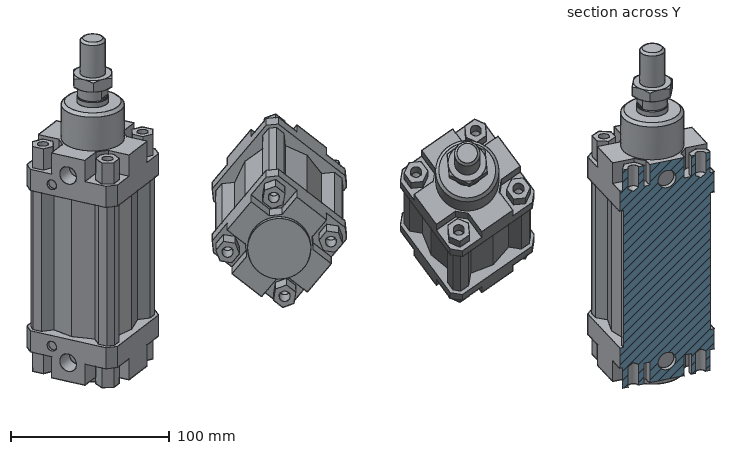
import math

import cadquery as cq

TOTAL_HEIGHT = 229.0
REAR_SPIGOT_HEIGHT = 4.1
CAP_HEIGHT = 29.3
CAP_STEP = 14.7
FRONT_CAP_TOP = 159.8
BOSS_TOP = 185.3
COLLAR_TOP = 189.4
ROD_FLATS_BOTTOM = 190.3
THREAD_START = 197.0

CAP_SIDE = 65.0
CAP_CHAMFER = 5.5
CROSS_WIDTH = 24.0
POCKET_CHAMFER = 5.7
BOSS_DIAMETER = 39.8
BOSS_CHAMFER = 2.0

BOLT_OFFSET = 23.1
BOLT_FLATS = 13.0
BOLT_HOLE_DIAMETER = 6.9
BOLT_HOLE_DEPTH = 14.7
DRILL_POINT_ANGLE = 118.0

PORT_DIAMETER = 12.0
PORT_DEPTH = 12.4
PORT_FROM_INNER_FACE = 16.3
CUSHION_DIAMETER = 6.6
CUSHION_DEPTH = 2.0
CUSHION_X = -11.7
CUSHION_FROM_INNER_FACE = 7.3

BARREL_HALF = 30.0
BARREL_CORNER_START = 26.5
COLUMN_INNER = 20.4
RECESS_EDGE = 14.7
RIDGE_HALF = 28.0

COLLAR_DIAMETER = 20.0
COLLAR_EDGE_BEVEL = 0.7
ROD_DIAMETER = 19.2
ROD_FLATS = 17.2
ROD_DEPTH = 27.5
THREAD_DIAMETER = 16.0
THREAD_CHAMFER = 1.5

NUT_FLATS = 24.0
NUT_HEIGHT = 8.0
NUT_CHAMFER_ANGLE = 30.0

REAR_CAP_TOP = REAR_SPIGOT_HEIGHT + CAP_HEIGHT
FRONT_CAP_BOTTOM = FRONT_CAP_TOP - CAP_HEIGHT
RECESS_DEPTH = BARREL_HALF - (COLUMN_INNER - RECESS_EDGE)
ROD_BOTTOM = BOSS_TOP - ROD_DEPTH
HEX_CORNERS_PER_FLATS = 1 / math.cos(math.radians(30))


def cylinder(diameter, bottom, top):
    return cq.Workplane("XY").workplane(offset=bottom).circle(diameter / 2).extrude(top - bottom)


def hexagon(flats, bottom, top):
    """Hexagonal prism on the Z axis with two corners on the X axis."""
    base = cq.Workplane("XY").workplane(offset=bottom)
    return base.polygon(6, flats * HEX_CORNERS_PER_FLATS).extrude(top - bottom)


def quarter_turns(shape):
    """Four copies of a shape, a quarter turn apart about the Z axis."""
    return [shape.rotate((0, 0, 0), (0, 0, 1), 90 * quarter) for quarter in range(4)]


def corner_pocket():
    """Pocket at the +X +Y corner of a cap whose outer face is at CAP_HEIGHT."""
    near = CROSS_WIDTH / 2
    far = CAP_SIDE
    outline = [
        (near + POCKET_CHAMFER, near),
        (far, near),
        (far, far),
        (near, far),
        (near, near + POCKET_CHAMFER),
    ]
    floor = CAP_HEIGHT - CAP_STEP
    return cq.Workplane("XY").workplane(offset=floor).polyline(outline).close().extrude(CAP_STEP)


def tie_bolt():
    """Hexagonal bolt end at the +X +Y corner."""
    bolt = hexagon(BOLT_FLATS, CAP_HEIGHT - CAP_STEP, CAP_HEIGHT)
    return bolt.translate((BOLT_OFFSET, BOLT_OFFSET, 0))


def bolt_hole():
    """Drilled blind hole with a conical end, at the +X +Y corner."""
    radius = BOLT_HOLE_DIAMETER / 2
    hole_end = CAP_HEIGHT - BOLT_HOLE_DEPTH
    point_length = radius / math.tan(math.radians(DRILL_POINT_ANGLE / 2))
    outline = [
        (0, hole_end - point_length),
        (radius, hole_end),
        (radius, CAP_HEIGHT),
        (0, CAP_HEIGHT),
    ]
    hole = cq.Workplane("XZ").polyline(outline).close().revolve(360, (0, 0, 0), (0, 1, 0))
    return hole.translate((BOLT_OFFSET, BOLT_OFFSET, 0))


def side_hole(diameter, depth, x, z):
    """Flat-bottomed hole entering the -Y face of a cap."""
    face = cq.Workplane("XZ", origin=(x, -CAP_SIDE / 2, z))
    return face.circle(diameter / 2).extrude(-depth)


def cap():
    """End cap with its inner face at Z = 0 and its outer face at CAP_HEIGHT."""
    body = cq.Workplane("XY").rect(CAP_SIDE, CAP_SIDE).extrude(CAP_HEIGHT)
    body = body.edges("|Z").chamfer(CAP_CHAMFER)
    for pocket in quarter_turns(corner_pocket()):
        body = body.cut(pocket)
    for bolt in quarter_turns(tie_bolt()):
        body = body.union(bolt)
    for hole in quarter_turns(bolt_hole()):
        body = body.cut(hole)
    body = body.cut(side_hole(PORT_DIAMETER, PORT_DEPTH, 0, PORT_FROM_INNER_FACE))
    return body.cut(side_hole(CUSHION_DIAMETER, CUSHION_DEPTH, CUSHION_X, CUSHION_FROM_INNER_FACE))


def barrel():
    """Profiled tube body: bevelled corner columns with a shallow ridge between them."""
    side = [
        (-BARREL_CORNER_START, BARREL_HALF),
        (-COLUMN_INNER, BARREL_HALF),
        (-RECESS_EDGE, RECESS_DEPTH),
        (0, RIDGE_HALF),
        (RECESS_EDGE, RECESS_DEPTH),
        (COLUMN_INNER, BARREL_HALF),
        (BARREL_CORNER_START, BARREL_HALF),
    ]
    outline = list(side)
    for _ in range(3):
        side = [(y, -x) for x, y in side]
        outline += side
    base = cq.Workplane("XY").workplane(offset=REAR_CAP_TOP)
    return base.polyline(outline).close().extrude(FRONT_CAP_BOTTOM - REAR_CAP_TOP)


def make_housing():
    """Barrel with both end caps, the front boss and the rear spigot, bored for the rod."""
    front_cap = cap().translate((0, 0, FRONT_CAP_BOTTOM))
    rear_cap = cap().mirror("XY").translate((0, 0, REAR_CAP_TOP))
    boss = cylinder(BOSS_DIAMETER, FRONT_CAP_TOP - CAP_STEP, BOSS_TOP).faces(">Z").chamfer(BOSS_CHAMFER)
    spigot = cylinder(BOSS_DIAMETER, 0, REAR_SPIGOT_HEIGHT + CAP_STEP)
    body = barrel().union(front_cap).union(rear_cap)
    return body.union(boss).union(spigot).cut(cylinder(COLLAR_DIAMETER, ROD_BOTTOM, BOSS_TOP))


def make_rod():
    """Collar sliding in the housing, neck with two wrench flats, and threaded end."""
    rim = (COLLAR_DIAMETER - ROD_DIAMETER) / 2
    collar = cylinder(COLLAR_DIAMETER, ROD_BOTTOM, COLLAR_TOP)
    collar = collar.faces(">Z").chamfer(COLLAR_EDGE_BEVEL, rim)
    neck = cylinder(ROD_DIAMETER, COLLAR_TOP, ROD_FLATS_BOTTOM)
    flats = cq.Workplane("XY").workplane(offset=ROD_FLATS_BOTTOM).rect(ROD_FLATS, ROD_DIAMETER)
    flats = flats.extrude(THREAD_START - ROD_FLATS_BOTTOM)
    flats = flats.intersect(cylinder(ROD_DIAMETER, ROD_FLATS_BOTTOM, THREAD_START))
    thread = cylinder(THREAD_DIAMETER, THREAD_START, TOTAL_HEIGHT).faces(">Z").chamfer(THREAD_CHAMFER)
    return collar.union(neck).union(flats).union(thread)


def make_nut():
    """Hexagonal nut whose corners are bevelled by a cone at both ends."""
    top = THREAD_START + NUT_HEIGHT
    across_corners = NUT_FLATS * HEX_CORNERS_PER_FLATS
    bevel_width = (across_corners - NUT_FLATS) / 2
    bevel_height = bevel_width * math.tan(math.radians(NUT_CHAMFER_ANGLE))
    envelope = cylinder(across_corners, THREAD_START, top)
    envelope = envelope.faces(">Z or <Z").chamfer(bevel_height, bevel_width)
    nut = hexagon(NUT_FLATS, THREAD_START, top).intersect(envelope)
    return nut.cut(cylinder(THREAD_DIAMETER, THREAD_START, top))


housing = make_housing()
rod = make_rod()
nut = make_nut()

result = cq.Compound.makeCompound([housing.solids().val(), rod.solids().val(), nut.solids().val()])